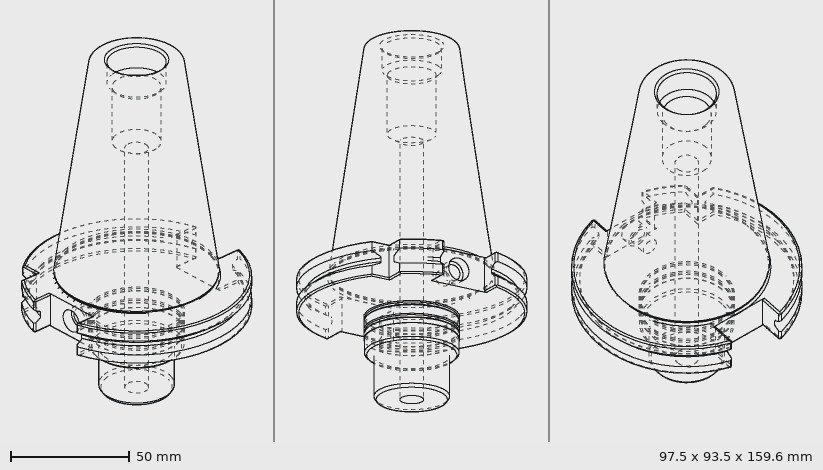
import cadquery as cq
import math


total_height = 159.6
gauge_height = 57.8
gauge_diameter = 69.9
taper_ratio = 7 / 24
taper_bottom = 57.0
shank_tip_fillet = 2.2
relief_height = 56.2
relief_radius = 34.6
relief_fillet = 1.0

flange_top = 54.7
flange_bottom = 39.1
flange_diameter = 97.5
flange_radius = flange_diameter / 2
flange_middle = (flange_top + flange_bottom) / 2
flange_slope = math.tan(math.radians(30))
edge_chamfer_width = 1.0
edge_chamfer_drop = edge_chamfer_width * flange_slope

groove_floor_radius = 45.3
groove_mouth_width = 6.7
groove_side_drop = (flange_radius - groove_floor_radius) * flange_slope
groove_floor_fillet = 1.0

slot_half_width = 12.8
front_slot_floor = 37.7
rear_slot_floor = 35.3
notch_offset = 30.0

radial_hole_diameter = 7.0
radial_counterbore_diameter = 10.0
radial_counterbore_depth = 4.8
radial_hole_depth = 12.8

collar_radius = 40.5 / 2
lower_collar_radius = 40.0 / 2
collar_root_fillet = 1.0
collar_step_height = 27.3
collar_bottom = 20.1
collar_chamfer = 1.0
ring_groove_heights = (36.2, 30.5)
ring_groove_width = 1.9
ring_groove_depth = 0.5
nose_radius = 32.0 / 2
nose_root_fillet = 0.6
nose_chamfer_width = 1.0
nose_chamfer_height = 1.5

pilot_diameter = 25.0
pilot_chamfer = 1.1
pilot_depth = 11.2
thread_core_diameter = 20.7
thread_depth = 39.9
through_diameter = 10.0
drill_half_angle = math.radians(59)

cutter_clearance = 8.0
cutter_reach = flange_radius + cutter_clearance


def taper_radius(height):
    return (gauge_diameter - (height - gauge_height) * taper_ratio) / 2


def revolve_profile(points):
    return cq.Workplane("XZ").polyline(points).close().revolve(360, (0, 0), (0, 1))


def ring_edges(body, radius, height):
    """Circular edges of the given radius at the given height."""
    tolerance = 0.002
    return body.edges("%CIRCLE").filter(
        lambda edge: abs(edge.radius() - radius) < tolerance
        and abs(edge.Center().z - height) < tolerance
    )


def ring_groove_points(height):
    """V-sided groove in the collar, from its lower to its upper edge."""
    half_mouth = ring_groove_width / 2
    half_floor = half_mouth - ring_groove_depth
    floor_radius = collar_radius - ring_groove_depth
    return [
        (collar_radius, height - half_mouth),
        (floor_radius, height - half_floor),
        (floor_radius, height + half_floor),
        (collar_radius, height + half_mouth),
    ]


def make_body():
    groove_low = flange_middle - groove_mouth_width / 2
    groove_high = flange_middle + groove_mouth_width / 2
    floor_low = groove_low + groove_side_drop
    floor_high = groove_high - groove_side_drop
    flange_face_radius = flange_radius - edge_chamfer_width

    outline = [
        (0, 0),
        (nose_radius - nose_chamfer_width, 0),
        (nose_radius, nose_chamfer_height),
        (nose_radius, collar_bottom),
        (lower_collar_radius - collar_chamfer, collar_bottom),
        (lower_collar_radius, collar_bottom + collar_chamfer),
        (lower_collar_radius, collar_step_height),
        (collar_radius, collar_step_height),
    ]
    for height in sorted(ring_groove_heights):
        outline += ring_groove_points(height)
    outline += [
        (collar_radius, flange_bottom),
        (flange_face_radius, flange_bottom),
        (flange_radius, flange_bottom + edge_chamfer_drop),
        (flange_radius, groove_low),
        (groove_floor_radius, floor_low),
        (groove_floor_radius, floor_high),
        (flange_radius, groove_high),
        (flange_radius, flange_top - edge_chamfer_drop),
        (flange_face_radius, flange_top),
        (relief_radius, flange_top),
        (relief_radius, relief_height),
        (taper_radius(taper_bottom), taper_bottom),
        (taper_radius(total_height), total_height),
        (0, total_height),
    ]
    body = revolve_profile(outline)

    rounded_rings = [
        (taper_radius(total_height), total_height, shank_tip_fillet),
        (relief_radius, flange_top, relief_fillet),
        (groove_floor_radius, floor_low, groove_floor_fillet),
        (groove_floor_radius, floor_high, groove_floor_fillet),
        (collar_radius, flange_bottom, collar_root_fillet),
        (nose_radius, collar_bottom, nose_root_fillet),
    ]
    for radius, height, fillet in rounded_rings:
        body = ring_edges(body, radius, height).fillet(fillet)
    return body


def flared_wall(offset):
    """Wall outline (offset, height) that flares out at both flange faces."""
    flared = offset + edge_chamfer_width
    return [
        (flared, flange_bottom),
        (offset, flange_bottom + edge_chamfer_drop),
        (offset, flange_top - edge_chamfer_drop),
        (flared, flange_top),
    ]


def make_slot(floor):
    """Cutter for a drive slot open towards -Y."""
    right_wall = flared_wall(slot_half_width)
    left_wall = [(-x, z) for x, z in reversed(right_wall)]
    slot = (
        cq.Workplane("XZ", origin=(0, -floor, 0))
        .polyline(right_wall + left_wall)
        .close()
        .extrude(cutter_reach - floor)
    )

    mouth_half_width = slot_half_width + edge_chamfer_width
    rim = math.sqrt(flange_radius**2 - mouth_half_width**2)
    mouth_points = [
        (slot_half_width, edge_chamfer_drop - rim),
        (mouth_half_width, -rim),
        (mouth_half_width, -cutter_reach),
    ]
    mouth = (
        cq.Workplane("XY", origin=(0, 0, flange_bottom))
        .polyline(mouth_points + [(-x, y) for x, y in reversed(mouth_points)])
        .close()
        .extrude(flange_top - flange_bottom)
    )
    return slot.union(mouth)


def make_notch():
    """Cutter for the square corner notch on the -X, -Y side."""
    flared_offset = notch_offset - edge_chamfer_width
    wall = [
        (-flared_offset, flange_bottom),
        (-notch_offset, flange_bottom + edge_chamfer_drop),
        (-notch_offset, flange_top - edge_chamfer_drop),
        (-flared_offset, flange_top),
        (-cutter_reach, flange_top),
        (-cutter_reach, flange_bottom),
    ]
    along_y = cq.Workplane("XZ").polyline(wall).close().extrude(cutter_reach)
    along_x = cq.Workplane("YZ").polyline(wall).close().extrude(-cutter_reach)
    return along_y.intersect(along_x)


def make_radial_hole():
    """Counterbored blind hole with a drill point, entering the front slot floor."""
    radius = radial_hole_diameter / 2
    counterbore_radius = radial_counterbore_diameter / 2
    counterbore_bottom = front_slot_floor - radial_counterbore_depth
    bottom = front_slot_floor - radial_hole_depth
    profile = [
        (0, front_slot_floor),
        (counterbore_radius, front_slot_floor),
        (counterbore_radius, counterbore_bottom),
        (radius, counterbore_bottom),
        (radius, bottom),
        (0, bottom - radius / math.tan(drill_half_angle)),
    ]
    hole = cq.Workplane("XY").polyline(profile).close().revolve(360, (0, 0), (0, 1))
    return hole.rotate((0, 0, 0), (0, 0, 1), 180).translate((0, 0, flange_middle))


def make_bore():
    pilot_radius = pilot_diameter / 2
    core_radius = thread_core_diameter / 2
    through_radius = through_diameter / 2
    pilot_bottom = total_height - pilot_depth
    thread_bottom = total_height - thread_depth
    drill_point_height = (core_radius - through_radius) / math.tan(drill_half_angle)
    return revolve_profile([
        (0, 0),
        (through_radius, 0),
        (through_radius, thread_bottom - drill_point_height),
        (core_radius, thread_bottom),
        (core_radius, pilot_bottom - (pilot_radius - core_radius)),
        (pilot_radius, pilot_bottom),
        (pilot_radius, total_height - pilot_chamfer),
        (pilot_radius + pilot_chamfer, total_height),
        (0, total_height),
    ])


result = (
    make_body()
    .cut(make_slot(front_slot_floor))
    .cut(make_slot(rear_slot_floor).rotate((0, 0, 0), (0, 0, 1), 180))
    .cut(make_notch())
    .cut(make_radial_hole())
    .cut(make_bore())
)